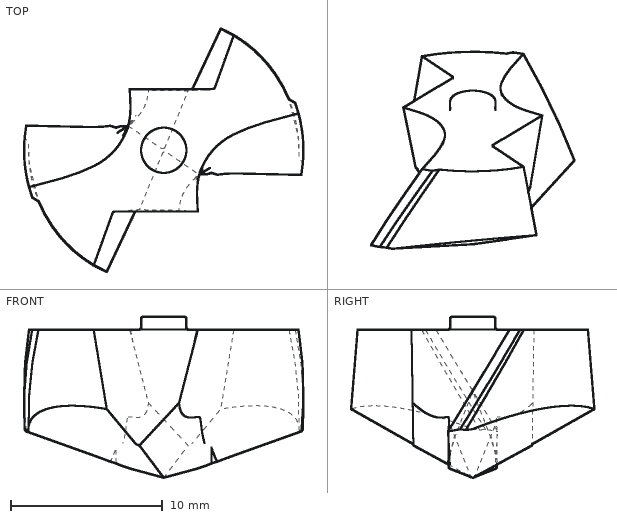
import cadquery as cq
import math


tip_depth = 9.75
margin_radius = 9.2
body_radius = 8.9
body_middle_radius = 8.87
body_end_radius = 8.81
twist_rate = 3.804
blank_depth = 11.04
overlap = 0.18
tool_size = 55.2

margin_start_angle = 15.3
margin_end_angle = 19.8
body_start_angle = 22.2
flute_end_angle = -68.0
flute_points = [
    (7.4, 2.05), (5.17, 1.3), (3.86, 0.59), (2.76, -0.65), (2.3, -1.8), (2.19, -2.9), (2.25, -4.01),
]

notch_corner = (-3.33, -4.03)
notch_lean = 0.2
notch_tilt = 0.016
notch_wall_run = (-7.0, -19.4)
notch_corner_radius = 0.18

edge_slope = 0.36
relief_slope = 0.396
land_slope = 0.13
gash_slope = (1.055, -0.977)
gash_wall_end = (2.02, -1.4)
gash_curve_end = (3.13, -1.49)
gash_exit = (11.04, -4.05)
gash_radius = 0.28

peg_radius = 1.49
peg_height = 0.85
peg_top_fillet = 0.13
peg_foot_radius = 0.15


def polar(radius, degrees):
    angle = math.radians(degrees)
    return (radius * math.cos(angle), radius * math.sin(angle))


def half_turn(item):
    """Return a point or a solid turned 180 degrees about Z."""
    if isinstance(item, tuple):
        return (-item[0], -item[1])
    return item.rotate((0, 0, 0), (0, 0, 1), 180)


def helical_blank():
    """Two-fluted section twisted about Z, arriving untwisted at the mounting face."""
    margin_start = polar(margin_radius, margin_start_angle)
    margin_middle = polar(margin_radius, (margin_start_angle + margin_end_angle) / 2)
    margin_end = polar(margin_radius, margin_end_angle)
    body_start = polar(body_radius, body_start_angle)
    body_end_angle = flute_end_angle + 180
    body_middle = polar(body_middle_radius, (body_start_angle + body_end_angle) / 2)
    body_end = polar(body_end_radius, body_end_angle)
    far_flute = [half_turn(point) for point in reversed(flute_points)]

    section = cq.Workplane("XY").moveTo(*margin_start)
    section = section.threePointArc(margin_middle, margin_end).lineTo(*body_start)
    section = section.threePointArc(body_middle, body_end).lineTo(*far_flute[0])
    section = section.spline(far_flute[1:] + [half_turn(margin_start)], includeCurrent=True)
    section = section.threePointArc(half_turn(margin_middle), half_turn(margin_end))
    section = section.lineTo(*half_turn(body_start))
    section = section.threePointArc(half_turn(body_middle), half_turn(body_end))
    section = section.lineTo(*flute_points[-1])
    section = section.spline(flute_points[-2::-1] + [margin_start], includeCurrent=True).close()

    twist = twist_rate * blank_depth
    blank = section.twistExtrude(blank_depth, twist)
    return blank.rotate((0, 0, 0), (0, 0, 1), -twist).translate((0, 0, -blank_depth))


def relief_notch():
    """Leaning V prism with one wall along X and one along the blade's back."""
    reach = tool_size / 2 / math.hypot(*notch_wall_run)

    def outline(z):
        x = notch_corner[0] - notch_lean * z
        y = notch_corner[1] - notch_tilt * z
        wall_end = (x + reach * notch_wall_run[0], y + reach * notch_wall_run[1])
        points = [(x, y), (x + tool_size / 2, y), wall_end]
        return cq.Wire.makePolygon([cq.Vector(px, py, z) for px, py in points], close=True)

    solid = cq.Solid.makeLoft([outline(-blank_depth), outline(overlap)], True)
    middle_depth = blank_depth / 2
    corner_middle = (
        notch_corner[0] + notch_lean * middle_depth,
        notch_corner[1] + notch_tilt * middle_depth,
        -middle_depth,
    )
    corner = cq.Workplane(solid).edges(cq.selectors.NearestToPointSelector(corner_middle))
    return corner.fillet(notch_corner_radius)


def block_behind(normal):
    """Block filling the space behind a plane through the drill point."""
    plane = cq.Plane(origin=(0, 0, -tip_depth), normal=normal)
    return cq.Workplane(plane).rect(tool_size, tool_size).extrude(-tool_size)


def block_below(slope_x, slope_y):
    """Block below a sloping plane through the drill point."""
    return block_behind((-slope_x, -slope_y, 1))


def gash():
    """Web-thinning groove: a sloping face and an upright wall with a round valley."""
    run_x, run_y = gash_wall_end
    back_scale = tool_size / 2 / math.hypot(run_x, run_y)
    back_end = (-back_scale * run_x, -back_scale * run_y)
    wall_side = (
        cq.Workplane("XY", origin=(0, 0, -tool_size / 2))
        .moveTo(*back_end)
        .lineTo(*gash_wall_end)
        .tangentArcPoint(gash_curve_end, relative=False)
        .lineTo(*gash_exit)
        .lineTo(gash_exit[0], -tool_size / 2)
        .lineTo(back_end[0], -tool_size / 2)
        .close()
        .extrude(tool_size)
    )
    wedge = block_below(*gash_slope).intersect(wall_side)
    valley_rise = gash_slope[0] * run_x + gash_slope[1] * run_y
    valley = cq.Vector(run_x, run_y, valley_rise)
    return wedge.edges(cq.selectors.ParallelDirSelector(valley)).fillet(gash_radius)


def mounting_peg():
    """Round peg with a rounded top edge and a concave foot."""
    foot_middle = peg_foot_radius * (1 - math.sqrt(0.5))
    profile = (
        cq.Workplane("XZ")
        .moveTo(0, -overlap)
        .lineTo(peg_radius + peg_foot_radius, -overlap)
        .lineTo(peg_radius + peg_foot_radius, 0)
        .threePointArc((peg_radius + foot_middle, foot_middle), (peg_radius, peg_foot_radius))
        .lineTo(peg_radius, peg_height)
        .lineTo(0, peg_height)
        .close()
    )
    return profile.revolve(360, (0, 0), (0, 1)).faces(">Z").edges().fillet(peg_top_fillet)


cutters = [
    relief_notch(),
    block_below(-edge_slope, -relief_slope),
    block_below(-edge_slope, -land_slope),
    gash(),
]

result = helical_blank()
for cutter in cutters:
    result = result.cut(cutter).cut(half_turn(cutter))
result = result.union(mounting_peg())